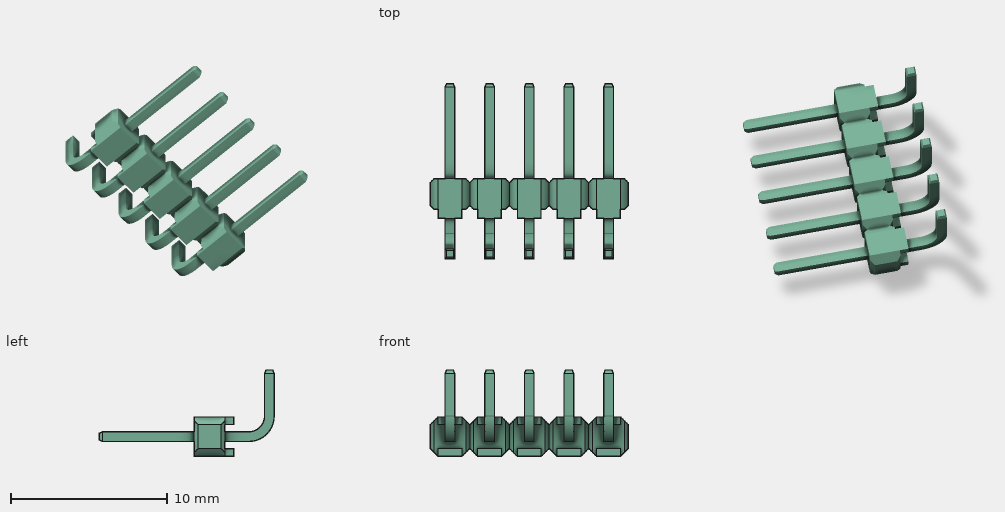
import cadquery as cq

pin_count = 5
pitch = 2.54
housing_height = 2.54
first_pin_x = -pitch * (pin_count - 1) / 2

block_depth = 1.97
slope_size = 0.508
corner_bevel = 0.254
tab_reach = 2.54
tab_height = 0.508
tab_width = pitch - 2 * slope_size

wire_size = 0.635
wire_z = housing_height / 2
overall_length = 11.22
overall_height = 5.54
back_length = 6.09
inner_bend_radius = 1.0
bend_radius = inner_bend_radius + wire_size / 2
tip_length = 0.22
tip_inset = 0.1
leg_y = back_length - overall_length + wire_size / 2


def make_block(x):
    """Block with sloped sides in XZ and beveled upright corners in XY."""
    sloped = (
        cq.Workplane("XY")
        .box(pitch, block_depth, housing_height)
        .edges("|Y")
        .chamfer(slope_size)
    )
    cornered = (
        cq.Workplane("XY")
        .box(pitch, block_depth, housing_height)
        .edges("|Z")
        .chamfer(corner_bevel)
    )
    return sloped.intersect(cornered).translate((x, -block_depth / 2, housing_height / 2))


def make_tabs(x):
    """Upper and lower tabs, running the full housing depth to join the block."""
    tab = cq.Workplane("XY").box(tab_width, tab_reach, tab_height)
    lower = tab.translate((x, -tab_reach / 2, tab_height / 2))
    upper = tab.translate((x, -tab_reach / 2, housing_height - tab_height / 2))
    return lower.union(upper)


def make_pin(x):
    """Wire from the back tip, round the bend and up to the leg tip."""
    back_y = back_length - tip_length
    leg_z = overall_height - tip_length
    tip_size = wire_size - 2 * tip_inset
    back_plane = cq.Plane(origin=(x, back_y, wire_z), xDir=(1, 0, 0), normal=(0, 1, 0))
    leg_plane = cq.Plane(origin=(x, leg_y, leg_z), xDir=(1, 0, 0), normal=(0, 0, 1))

    path = (
        cq.Workplane("YZ", origin=(x, 0, 0))
        .moveTo(back_y, wire_z)
        .lineTo(leg_y + bend_radius, wire_z)
        .tangentArcPoint((leg_y, wire_z + bend_radius), relative=False)
        .lineTo(leg_y, leg_z)
    )
    pin = cq.Workplane(back_plane).rect(wire_size, wire_size).sweep(path)
    for plane in (back_plane, leg_plane):
        tip = (
            cq.Workplane(plane)
            .rect(wire_size, wire_size)
            .workplane(offset=tip_length)
            .rect(tip_size, tip_size)
            .loft(ruled=True)
        )
        pin = pin.union(tip)
    return pin


def make_housing(x_places):
    """Row of joined blocks with a square passage for the wire through each one."""
    row = make_block(x_places[0])
    for x in x_places[1:]:
        row = row.union(make_block(x))
    for x in x_places:
        row = row.union(make_tabs(x))
        passage = (
            cq.Workplane("XY")
            .box(wire_size, block_depth, wire_size)
            .translate((x, -block_depth / 2, wire_z))
        )
        row = row.cut(passage)
    return row


pin_places = [first_pin_x + i * pitch for i in range(pin_count)]
housing = make_housing(pin_places)
pins = [make_pin(x) for x in pin_places]

bodies = [housing, *pins]
result = cq.Compound.makeCompound([body.solids().val() for body in bodies])